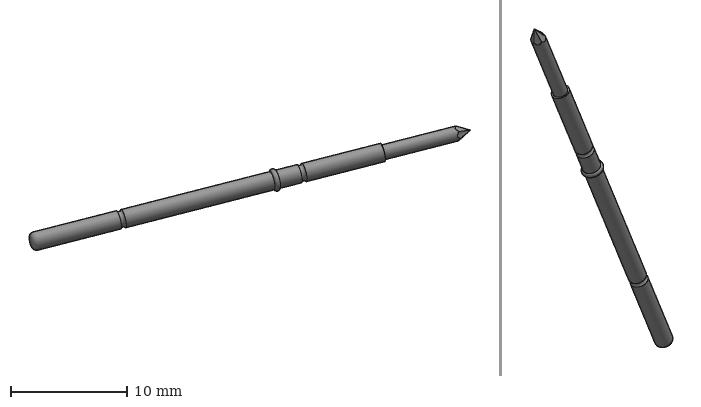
import cadquery as cq
import math

TOTAL_LENGTH = 40.0
BARREL_LENGTH = 32.0
BARREL_DIAMETER = 1.65
TAIL_FILLET = 0.45

COLLAR_DIAMETER = 2.0
COLLAR_WIDTH = 0.5
COLLAR_CENTER = 22.2

GROOVE_WIDTH = 0.45
GROOVE_DEPTH = 0.1
GROOVE_CENTERS = (24.65, 8.2)

PLUNGER_DIAMETER = 1.3
TIP_EDGES = 6
TIP_EDGE_ANGLE = 30.0
TIP_VALLEY_ANGLE = 25.5

barrel_radius = BARREL_DIAMETER / 2
collar_radius = COLLAR_DIAMETER / 2
plunger_radius = PLUNGER_DIAMETER / 2


def rod(radius, start, length):
    """Cylinder on the Y axis running from start toward +Y."""
    plane = cq.Workplane("XZ", origin=(0, start, 0))
    return plane.circle(radius).extrude(-length)


def revolve_about_y(profile):
    return profile.revolve(360, (0, 0, 0), (0, 1, 0))


def collar():
    """Ring with a fully rounded rim."""
    half_width = COLLAR_WIDTH / 2
    shoulder_radius = collar_radius - half_width
    bottom = COLLAR_CENTER - half_width
    top = COLLAR_CENTER + half_width
    profile = (
        cq.Workplane("XY")
        .moveTo(0, bottom)
        .lineTo(shoulder_radius, bottom)
        .threePointArc((collar_radius, COLLAR_CENTER), (shoulder_radius, top))
        .lineTo(0, top)
        .close()
    )
    return revolve_about_y(profile)


def groove(center):
    """Ring-shaped cutter whose inner side is an arc dipping into the barrel."""
    half_width = GROOVE_WIDTH / 2
    profile = (
        cq.Workplane("XY")
        .moveTo(barrel_radius, center - half_width)
        .threePointArc(
            (barrel_radius - GROOVE_DEPTH, center),
            (barrel_radius, center + half_width),
        )
        .lineTo(collar_radius, center + half_width)
        .lineTo(collar_radius, center - half_width)
        .close()
    )
    return revolve_about_y(profile)


def star_point(length):
    """Solid point with sharp edges, two toward +X and -X, and V valleys between."""
    base = []
    for corner in range(2 * TIP_EDGES):
        slope = TIP_EDGE_ANGLE if corner % 2 == 0 else TIP_VALLEY_ANGLE
        radius = length * math.tan(math.radians(slope))
        angle = math.pi * corner / TIP_EDGES
        base.append(
            cq.Vector(radius * math.cos(angle), TOTAL_LENGTH - length, radius * math.sin(angle))
        )
    apex = cq.Vector(0, TOTAL_LENGTH, 0)
    outlines = [base]
    for corner, start in enumerate(base):
        outlines.append([base[corner - 1], start, apex])
    faces = [
        cq.Face.makeFromWires(cq.Wire.makePolygon(outline, close=True)) for outline in outlines
    ]
    return cq.Workplane(obj=cq.Solid.makeSolid(cq.Shell.makeShell(faces)))


def plunger():
    """Round shaft ground to a six-edged star point."""
    length = TOTAL_LENGTH - BARREL_LENGTH
    return rod(plunger_radius, BARREL_LENGTH, length).intersect(star_point(length))


barrel = rod(barrel_radius, 0, BARREL_LENGTH).faces("<Y").edges().fillet(TAIL_FILLET)
for groove_center in GROOVE_CENTERS:
    barrel = barrel.cut(groove(groove_center))

result = barrel.union(collar()).union(plunger())